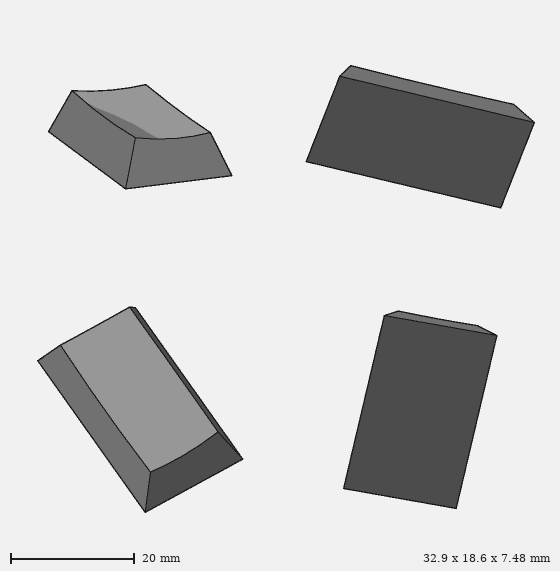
import cadquery as cq
import math

base_length = 32.93
base_width = 18.6
full_height = 7.48
side_draft = 21.3

dish_radius = 40.0
dish_low_y = 2.0
rocker_radius = 250.27

clearance = 3.3


def dish_low_height():
    """Height of the lowest point of the dish, with the two front corners at full height."""
    inset = full_height * math.tan(math.radians(side_draft))
    corner_x = base_length / 2 - inset
    corner_y = base_width / 2 - inset
    rise_across = dish_radius - math.sqrt(dish_radius**2 - (corner_y + dish_low_y) ** 2)
    rise_along = rocker_radius - math.sqrt(rocker_radius**2 - corner_x**2)
    return full_height - rise_across - rise_along


def make_block():
    """Rectangular block whose four sides lean inwards by the draft angle."""
    block_height = full_height + clearance / 2
    return cq.Workplane("XY").rect(base_length, base_width).extrude(block_height, taper=side_draft)


def make_dish_cutter():
    """Solid above the dish: the cross arc revolved about a high axis parallel to Y."""
    low_z = dish_low_height()
    half_width = base_width / 2 + clearance
    top_z = full_height + 2 * clearance
    arc_end_z = low_z + dish_radius - math.sqrt(dish_radius**2 - half_width**2)
    axis_z = low_z + rocker_radius
    half_angle = math.degrees(math.asin((base_length / 2 + clearance) / rocker_radius))

    profile = (
        cq.Workplane("YZ")
        .moveTo(dish_low_y - half_width, arc_end_z)
        .threePointArc((dish_low_y, low_z), (dish_low_y + half_width, arc_end_z))
        .lineTo(dish_low_y + half_width, top_z)
        .lineTo(dish_low_y - half_width, top_z)
        .close()
    )
    axis_start = (0, axis_z)
    axis_end = (1, axis_z)
    sector = profile.revolve(2 * half_angle, axis_start, axis_end)
    return sector.rotate((0, 0, axis_z), (0, 1, axis_z), -half_angle)


def make_keycap():
    return make_block().cut(make_dish_cutter())


keycap = make_keycap()

result = cq.Compound.makeCompound([keycap.val()])